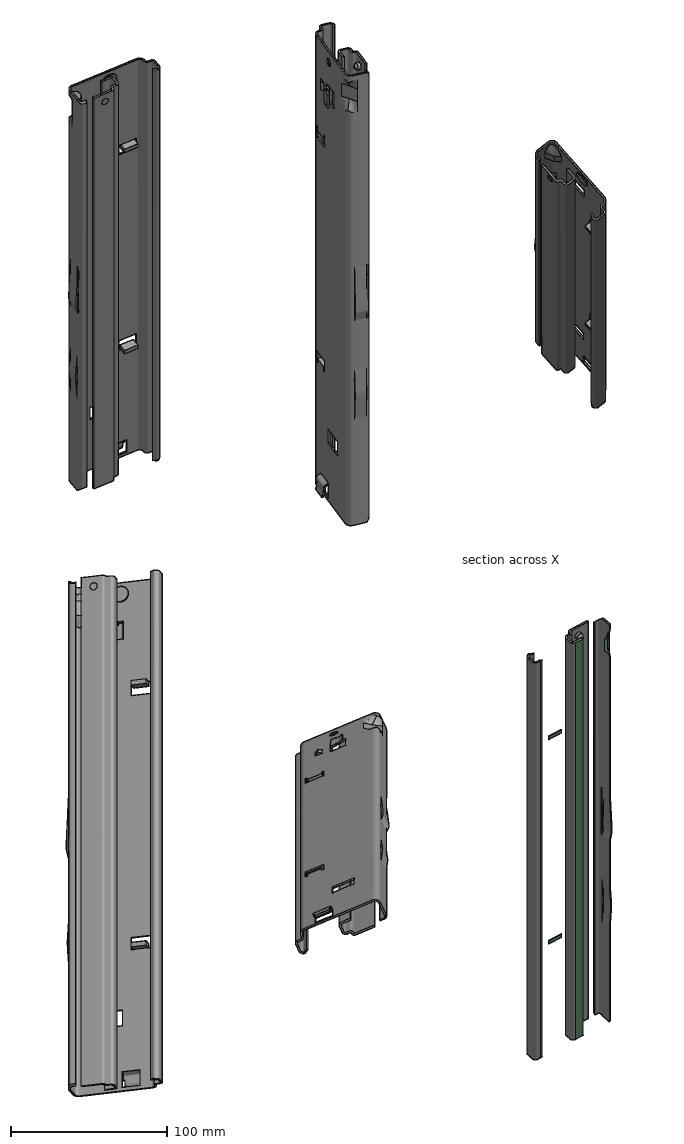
import cadquery as cq
import math

top_z = 350.0
bottom_z = 0.7
housing_width = 61.2
sheet = 1.22
half_sheet = sheet / 2
rail_sheet = 1.5

plate_x = half_sheet
lip_x = 15.5
lip_top_y = 5.5
lip_chamfer = 2.8
spur_y_min = 57.5
spur_y_max = 59.0
step_y = 55.3
channel_lip_root_x = 13.5
channel_lip_x = 15.5
channel_lip_y = 58.8
channel_lip_end_y = 55.5
channel_x = 6.3

corner_bend = 3.0
lip_bend = 2.5
shoulder_bend = 3.5
channel_bend = 1.8
channel_lip_bend = 1.0
rail_bend = 1.8
rail_shoulder_bend = 1.0
hook_bend = 0.88

rail_outer_x = 17.5
rail_leg_x = rail_outer_x - rail_sheet / 2
rail_web_x = 14.0
rail_top_y = 30.0
rail_shoulder_y = 25.0
rail_inner_end_y = 22.0
rail_outer_end_y = 9.8

window_y_min = 38.0
window_y_max = 51.0
window_height = 8.5
upper_window_z = 271.5
lower_window_z = 97.0
tab_side_gap = 1.5
tab_reach = 6.0
tab_thickness = 3.0

plain_window_y = 16.8
plain_window_z = 45.5
plain_window_width = 15.5
plain_window_height = 11.0

hook_run_x = -2.62
hook_flare = 1.0
hook_ramp_share = 0.2
hook_flare_share = 0.75
hook_tip_setback = 1.0
side_hook_z = 311.0
side_hook_height = 12.2
side_hook_y_max = 34.0
side_hook_y_min = 22.8
foot_hook_y = 32.0
foot_hook_width = 12.2
foot_hook_z_max = 15.0
foot_hook_z_min = 3.0
hook_clearance = 7.0

ridge_y = 39.0
ridge_width = 5.2
ridge_z = 314.5
ridge_height = 6.3
ridge_rise = 1.5

dimple_y = 31.0
dimple_z = 342.0
dimple_depth = 0.88
dimple_radius = 2.8
dimple_boss_radius = 5.2

dent_z = 334.0
dent_plate_y = 10.0
dent_flange_x = 7.0
dent_fold_x = 3.5
dent_fold_y = 5.5
dent_height = 24.5
dent_fold_height = 9.8
dent_surround = 3.5

bump_x_min = 5.0
long_bump = (14.0, 1.5, (159.5, 166.0, 171.0, 201.0))
short_bump = (13.0, 1.0, (83.3, 100.8, 103.5, 120.5))

rivet_y = 18.2
rivet_z = 343.0
rivet_radius = 2.5
rivet_tip_radius = 1.0
rivet_cylinder_length = 2.0
rivet_tip_length = 1.8


def bent_sheet(workplane, points, radii, thickness):
    """Closed outline of a bent sheet whose middle line follows the points, one radius per bend."""
    directions = []
    for (x0, y0), (x1, y1) in zip(points, points[1:]):
        run = math.hypot(x1 - x0, y1 - y0)
        directions.append(((x1 - x0) / run, (y1 - y0) / run))

    def side(offset):
        """Start point, bends (arc start, arc middle, arc end) and end point of one face."""
        first, last = directions[0], directions[-1]
        start = (points[0][0] - offset * first[1], points[0][1] + offset * first[0])
        end = (points[-1][0] - offset * last[1], points[-1][1] + offset * last[0])
        bends = []
        for (x, y), radius, (ax, ay), (bx, by) in zip(points[1:-1], radii, directions, directions[1:]):
            turn = math.atan2(ax * by - ay * bx, ax * bx + ay * by)
            left = math.copysign(1, turn)
            tangent = radius * math.tan(abs(turn) / 2)
            centre_x = x - ax * tangent - left * ay * radius
            centre_y = y - ay * tangent + left * ax * radius
            face_radius = radius - left * offset
            start_angle = math.atan2(-left * ax, left * ay)
            bends.append([
                (centre_x + face_radius * math.cos(start_angle + turn * share),
                 centre_y + face_radius * math.sin(start_angle + turn * share))
                for share in (0, 0.5, 1)
            ])
        return start, bends, end

    start, bends, end = side(thickness / 2)
    outline = workplane.moveTo(*start)
    for arc_start, arc_middle, arc_end in bends:
        outline = outline.lineTo(*arc_start).threePointArc(arc_middle, arc_end)
    outline = outline.lineTo(*end)
    start, bends, end = side(-thickness / 2)
    outline = outline.lineTo(*end)
    for arc_start, arc_middle, arc_end in reversed(bends):
        outline = outline.lineTo(*arc_end).threePointArc(arc_middle, arc_start)
    return outline.lineTo(*start).close()


def extruded_section(points, radii, thickness):
    """Bent sheet of constant section along Z."""
    outline = bent_sheet(cq.Workplane("XY", origin=(0, 0, bottom_z)), points, radii, thickness)
    return outline.extrude(top_z - bottom_z)


def block(x_min, x_max, y_min, y_max, z_min, z_max):
    """Box between the given limits."""
    size = (x_max - x_min, y_max - y_min, z_max - z_min)
    return cq.Workplane("XY").box(*size, centered=False).translate((x_min, y_min, z_min))


def plate_window(y_min, y_max, z_min, z_max):
    """Cutter for a rectangular window through the back plate."""
    return block(-sheet, 2 * sheet, y_min, y_max, z_min, z_max)


def channel_section():
    """Bent sheet with a curled lip on the -Y side and a raised channel on the +Y side."""
    flange_y = housing_width - half_sheet
    points = [
        (lip_x, lip_top_y),
        (lip_x, half_sheet),
        (plate_x, half_sheet),
        (plate_x, step_y),
        (channel_x, step_y),
        (channel_x, flange_y),
        (channel_lip_root_x, flange_y),
        (channel_lip_x, channel_lip_y),
        (channel_lip_root_x, channel_lip_end_y),
    ]
    radii = [
        lip_bend,
        corner_bend,
        shoulder_bend,
        channel_bend,
        channel_bend,
        channel_lip_bend,
        channel_lip_bend,
    ]
    return extruded_section(points, radii, sheet)


def with_lip_chamfers(body):
    """Cuts the corners of the -Y lip at both ends."""
    outer_x = lip_x + half_sheet
    for end_z, inwards in ((bottom_z, 1), (top_z, -1)):
        corner = [
            (outer_x - lip_chamfer, end_z),
            (outer_x, end_z),
            (outer_x, end_z + inwards * lip_chamfer),
        ]
        body = body.cut(cq.Workplane("XZ").polyline(corner).close().extrude(-2 * lip_top_y))
    return body


def with_spur(body):
    """Small spur at the bottom end of the +Y lip."""
    return body.union(block(
        channel_lip_x - half_sheet, channel_lip_x, spur_y_min, spur_y_max, 0, 2 * bottom_z
    ))


def with_stop_tabs(body):
    """Cuts the two windows and bends a tab inwards from the far edge of each."""
    tab_edges = (
        (upper_window_z, upper_window_z + window_height - tab_thickness),
        (lower_window_z, lower_window_z),
    )
    for window_z, tab_z in tab_edges:
        body = body.cut(plate_window(window_y_min, window_y_max, window_z, window_z + window_height))
        tab_y_min = window_y_min + tab_side_gap
        tab_y_max = window_y_max - tab_side_gap
        body = body.union(block(0, tab_reach, tab_y_min, tab_y_max, tab_z, tab_z + tab_thickness))
    return body


def with_plain_window(body):
    """Cuts the window that stays open."""
    return body.cut(plate_window(
        plain_window_y,
        plain_window_y + plain_window_width,
        plain_window_z,
        plain_window_z + plain_window_height,
    ))


def hook_profile(workplane, root, tip):
    """Extrudable outline of a hook: steps out of the plate at root, runs to tip and flares."""
    run = tip - root
    points = [
        (plate_x, root),
        (hook_run_x, root + hook_ramp_share * run),
        (hook_run_x, root + hook_flare_share * run),
        (hook_run_x - hook_flare, tip),
    ]
    return bent_sheet(workplane, points, [hook_bend, hook_bend], sheet)


def with_side_hook(body):
    """Hook that points to -Y, in its own window."""
    top = side_hook_z + side_hook_height
    body = body.cut(plate_window(side_hook_y_min, side_hook_y_max - sheet, side_hook_z, top))
    hook = hook_profile(cq.Workplane("XY"), side_hook_y_max - half_sheet, side_hook_y_min + half_sheet)
    hook = hook.extrude(side_hook_height).translate((0, 0, side_hook_z))
    tip_y = (side_hook_y_min + side_hook_y_max) / 2
    for z_min in (side_hook_z, top - hook_tip_setback):
        hook = hook.cut(block(-hook_clearance, 0, side_hook_y_min, tip_y, z_min, z_min + hook_tip_setback))
    return body.union(hook)


def with_foot_hook(body):
    """Hook that points to -Z, in its own window."""
    y_max = foot_hook_y + foot_hook_width
    body = body.cut(plate_window(foot_hook_y, y_max, foot_hook_z_min, foot_hook_z_max - sheet))
    hook = hook_profile(cq.Workplane("XZ"), foot_hook_z_max - half_sheet, foot_hook_z_min + half_sheet)
    hook = hook.extrude(-foot_hook_width).translate((0, foot_hook_y, 0))
    tip_z = (foot_hook_z_min + foot_hook_z_max) / 2
    for y_min in (foot_hook_y, y_max - hook_tip_setback):
        hook = hook.cut(block(-hook_clearance, 0, y_min, y_min + hook_tip_setback, foot_hook_z_min, tip_z))
    return body.union(hook)


def with_ridge(body):
    """Small upright ridge on the outer face."""
    ridge = (
        cq.Workplane("XY", origin=(0, ridge_y, ridge_z))
        .polyline([(half_sheet, 0), (0, 0), (-ridge_rise, ridge_width / 2), (0, ridge_width),
                   (half_sheet, ridge_width)])
        .close()
        .extrude(ridge_height)
    )
    return body.union(ridge)


def with_dimple(body):
    """Round dimple pressed inwards."""
    face = cq.Workplane("YZ", origin=(0, dimple_y, dimple_z))
    boss = face.circle(dimple_boss_radius).extrude(sheet + dimple_depth)
    return body.union(boss).cut(face.circle(dimple_radius).extrude(dimple_depth))


def corner_wedge(growth):
    """Folded wedge across the -Y corner that fades out at both ends, grown inwards by growth."""
    def section(z, fold_x, fold_y):
        flange_x = dent_flange_x + growth
        plate_y = dent_plate_y + growth
        outline = [
            (-dent_surround, -dent_surround),
            (flange_x, -dent_surround),
            (flange_x, 0),
            (fold_x + growth, fold_y + growth),
            (0, plate_y),
            (-dent_surround, plate_y),
        ]
        return cq.Wire.makePolygon([cq.Vector(x, y, z) for x, y in outline], close=True)

    end = dent_height / 2
    middle = dent_fold_height / 2
    sections = [
        section(dent_z - end, 0, 0),
        section(dent_z - middle, dent_fold_x, dent_fold_y),
        section(dent_z + middle, dent_fold_x, dent_fold_y),
        section(dent_z + end, 0, 0),
    ]
    return cq.Workplane(cq.Solid.makeLoft(sections, True))


def with_corner_dent(body):
    """Corner pushed inwards, keeping the sheet thickness behind it."""
    corner = block(0, lip_x - lip_bend, 0, 2 * dent_plate_y, bottom_z, top_z)
    corner = corner.edges("|Z and <X and <Y").fillet(corner_bend + half_sheet)
    return body.union(corner_wedge(sheet).intersect(corner)).cut(corner_wedge(0))


def with_bump(body, bump):
    """Bump pressed outwards from the -Y flange."""
    x_max, rise, heights = bump
    ys = (0, -rise, -rise, 0)
    width = x_max - bump_x_min
    face = cq.Workplane("YZ", origin=(bump_x_min, 0, 0))
    shell = face.polyline(list(zip(ys, heights))).close().extrude(width)
    return body.union(shell).cut(shell.translate((0, sheet, 0)))


def make_housing():
    """Bent sheet housing with its tabs, hooks, windows, dent and bumps."""
    body = with_lip_chamfers(channel_section())
    body = with_spur(body)
    body = with_stop_tabs(body)
    body = with_plain_window(body)
    body = with_side_hook(body)
    body = with_foot_hook(body)
    body = with_ridge(body)
    body = with_dimple(body)
    body = with_corner_dent(body)
    for bump in (long_bump, short_bump):
        body = with_bump(body, bump)
    return body


def make_rivet():
    """Rivet along X, flush with the rail's outer face, with a conical inner end."""
    inner_x = rail_outer_x - rail_sheet - rivet_cylinder_length
    profile = [
        (rail_outer_x, 0),
        (rail_outer_x, rivet_radius),
        (inner_x, rivet_radius),
        (inner_x - rivet_tip_length, rivet_tip_radius),
        (inner_x - rivet_tip_length, 0),
    ]
    rivet = cq.Workplane("XY").polyline(profile).close().revolve(360, (0, 0), (1, 0))
    return rivet.translate((0, rivet_y, rivet_z))


def make_rail(rivet):
    """Hook-shaped rail inside the housing, with a hole for the rivet."""
    points = [
        (channel_x, rail_inner_end_y),
        (channel_x, rail_top_y),
        (rail_web_x, rail_top_y),
        (rail_web_x, rail_shoulder_y),
        (rail_leg_x, rail_shoulder_y),
        (rail_leg_x, rail_outer_end_y),
    ]
    radii = [rail_bend, rail_bend, rail_shoulder_bend, rail_shoulder_bend]
    return extruded_section(points, radii, rail_sheet).cut(rivet)


housing = make_housing()
rivet = make_rivet()
rail = make_rail(rivet)
result = cq.Compound.makeCompound([housing.solids().val(), rail.solids().val(), rivet.val()])